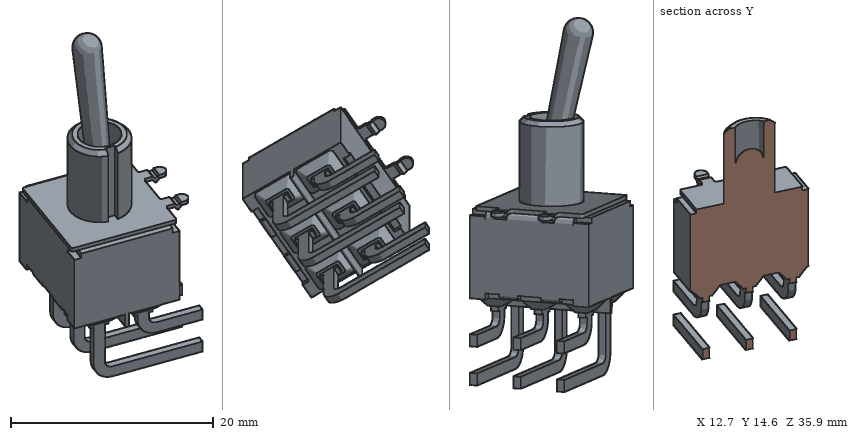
import cadquery as cq
import math


HOUSING_X = 12.7
HOUSING_Y = 11.5
HOUSING_TOP = 8.87
CORNER_TOP = 8.35
PANEL_X = 9.4
PANEL_THICKNESS = 0.75
PANEL_BOTTOM = 0.6
CORE_Y = HOUSING_Y - 2 * PANEL_THICKNESS
POST_X = (HOUSING_X - PANEL_X) / 2

LIP_WIDTH = 2.0
LIP_DROP = 0.45
LIP_ROUNDING = 0.43
LIP_SPACING = 4.45

PLATE_X = 11.42
PLATE_THICKNESS = 0.43
PLATE_CORNER = 0.2
PLATE_TOP = HOUSING_TOP + PLATE_THICKNESS
TAB_WIDTH = 1.3
TAB_SPACING = 5.1
TAB_TIP_Y = 8.45
DENT_Y = 7.08
DENT_HALF_WIDTH = 0.4
DENT_DROP = 0.43
GROOVE_HALF_WIDTH = 0.35
GROOVE_FLOOR_HALF_WIDTH = 0.18
GROOVE_DEPTH = 0.2

BUSHING_RADIUS = 6.35 / 2
BUSHING_TOP = 17.75
BUSHING_CHAMFER = 0.45
BORE_RADIUS = 4.35 / 2
KEYWAY_FLAT_X = 2.45
KEYWAY_WIDTH = 1.05
PIVOT_Z = 13.45

LEVER_TILT = 12.5
OVERALL_HEIGHT = 35.92
LEVER_TOP = 27.85
LEVER_TIP_RADIUS = 1.47
LEVER_ROOT_RADIUS = 1.2

DIVIDER_WIDTH = 0.43
DIVIDER_DROP = 1.58
DIVIDER_EDGE_RADIUS = 0.198

LEAD_PITCH_X = 4.67
LEAD_ROW_Y = 2.4
LEAD_WIDTH = 0.8
LEAD_THICKNESS = 1.22
LEAD_END_Y = 8.87
BEND_INNER_RADIUS = 1.65 / 2
FRONT_LEAD_BOTTOM = LEVER_TOP - OVERALL_HEIGHT
BACK_LEAD_BOTTOM = -4.2
SHOULDER_Y = 2.05
SHOULDER_BOTTOM = -1.55
MOUND_HEIGHT = 1.0
MOUND_BASE_X = 3.1
MOUND_BASE_Y = 4.4
MOUND_BASE_CORNER = 0.43
MOUND_INSET = 0.85
MOUND_END_CORNER = 0.2


def block(size_x, size_y, bottom, top, x=0, y=0):
    """Box centred on (x, y) between two heights."""
    height = top - bottom
    return cq.Workplane("XY").box(size_x, size_y, height).translate((x, y, (bottom + top) / 2))


def make_housing():
    """Housing block with rounded panels set between lower corner posts."""
    core = block(HOUSING_X, CORE_Y, 0, HOUSING_TOP)
    panels = block(PANEL_X, HOUSING_Y, 0, HOUSING_TOP).edges("|X and >Z").fillet(PANEL_THICKNESS)
    housing = core.union(panels)
    post_center = (PANEL_X + POST_X) / 2
    for x in (-post_center, post_center):
        housing = housing.union(block(POST_X, HOUSING_Y, 0, CORNER_TOP, x))
    for side in (-1, 1):
        panel_y = side * (HOUSING_Y - PANEL_THICKNESS) / 2
        housing = housing.cut(block(PANEL_X, PANEL_THICKNESS, 0, PANEL_BOTTOM, y=panel_y))
        outer_face = ">Y" if side > 0 else "<Y"
        for x in (-LIP_SPACING / 2, LIP_SPACING / 2):
            lip = block(LIP_WIDTH, PANEL_THICKNESS, PANEL_BOTTOM - LIP_DROP, PANEL_BOTTOM, x, panel_y)
            lip = lip.faces(outer_face).edges("<Z").fillet(LIP_ROUNDING)
            housing = housing.union(lip)
    return housing


def make_plate():
    """Top plate with two round-ended tabs, each dented downward."""
    plate = block(PLATE_X, HOUSING_Y, HOUSING_TOP, PLATE_TOP)
    plate = plate.edges("|Z").fillet(PLATE_CORNER)
    tab_root = HOUSING_Y / 2
    tab_end = TAB_TIP_Y - TAB_WIDTH / 2
    half = TAB_WIDTH / 2
    root_half = half + PLATE_CORNER
    tab_outline = (
        cq.Workplane("XY", origin=(0, 0, HOUSING_TOP))
        .moveTo(-root_half, tab_root)
        .radiusArc((-half, tab_root + PLATE_CORNER), -PLATE_CORNER)
        .lineTo(-half, tab_end)
        .threePointArc((0, TAB_TIP_Y), (half, tab_end))
        .lineTo(half, tab_root + PLATE_CORNER)
        .radiusArc((root_half, tab_root), -PLATE_CORNER)
        .lineTo(root_half, tab_root - PLATE_THICKNESS)
        .lineTo(-root_half, tab_root - PLATE_THICKNESS)
        .close()
    )
    dent = (
        cq.Workplane("YZ")
        .moveTo(DENT_Y - DENT_HALF_WIDTH, HOUSING_TOP)
        .lineTo(DENT_Y, HOUSING_TOP - DENT_DROP)
        .lineTo(DENT_Y + DENT_HALF_WIDTH, HOUSING_TOP)
        .close()
        .extrude(half, both=True)
    )
    groove = (
        cq.Workplane("YZ")
        .moveTo(DENT_Y - GROOVE_HALF_WIDTH, PLATE_TOP)
        .lineTo(DENT_Y - GROOVE_FLOOR_HALF_WIDTH, PLATE_TOP - GROOVE_DEPTH)
        .lineTo(DENT_Y + GROOVE_FLOOR_HALF_WIDTH, PLATE_TOP - GROOVE_DEPTH)
        .lineTo(DENT_Y + GROOVE_HALF_WIDTH, PLATE_TOP)
        .close()
        .extrude(half, both=True)
    )
    tab = tab_outline.extrude(PLATE_THICKNESS).union(dent).cut(groove)
    for x in (-TAB_SPACING / 2, TAB_SPACING / 2):
        plate = plate.union(tab.translate((x, 0, 0)))
    return plate


def make_bushing():
    """Bushing with its bore closed by the upper half of the lever ball."""
    arc_offset = BORE_RADIUS * math.sqrt(0.5)
    bushing = (
        cq.Workplane("XZ")
        .moveTo(0, HOUSING_TOP)
        .lineTo(BUSHING_RADIUS, HOUSING_TOP)
        .lineTo(BUSHING_RADIUS, BUSHING_TOP - BUSHING_CHAMFER)
        .lineTo(BUSHING_RADIUS - BUSHING_CHAMFER, BUSHING_TOP)
        .lineTo(BORE_RADIUS, BUSHING_TOP)
        .lineTo(BORE_RADIUS, PIVOT_Z)
        .threePointArc((arc_offset, PIVOT_Z + arc_offset), (0, PIVOT_Z + BORE_RADIUS))
        .close()
        .revolve(360, (0, 0, 0), (0, 1, 0))
    )
    keyway_depth = BUSHING_RADIUS - KEYWAY_FLAT_X
    keyway_x = KEYWAY_FLAT_X + keyway_depth / 2
    return bushing.cut(block(keyway_depth, KEYWAY_WIDTH, PLATE_TOP, BUSHING_TOP, keyway_x))


def make_lever():
    """Tapered lever with a round tip, tilted about the ball centre."""
    tip_height = LEVER_TOP - LEVER_TIP_RADIUS - PIVOT_Z
    length = tip_height / math.cos(math.radians(LEVER_TILT))
    arc_offset = LEVER_TIP_RADIUS * math.sqrt(0.5)
    lever = (
        cq.Workplane("XZ")
        .lineTo(LEVER_ROOT_RADIUS, 0)
        .lineTo(LEVER_TIP_RADIUS, length)
        .threePointArc((arc_offset, length + arc_offset), (0, length + LEVER_TIP_RADIUS))
        .close()
        .revolve(360, (0, 0, 0), (0, 1, 0))
    )
    return lever.rotate((0, 0, 0), (0, 1, 0), -LEVER_TILT).translate((0, 0, PIVOT_Z))


def make_divider():
    divider = block(HOUSING_X, DIVIDER_WIDTH, -DIVIDER_DROP, PANEL_BOTTOM)
    return divider.edges("|X and <Z").fillet(DIVIDER_EDGE_RADIUS)


def make_lead(row_y, bottom):
    """L-shaped lead that drops from the housing and bends toward +Y."""
    front = row_y - LEAD_THICKNESS / 2
    back = row_y + LEAD_THICKNESS / 2
    outer_radius = BEND_INNER_RADIUS + LEAD_THICKNESS
    inner_top = bottom + LEAD_THICKNESS
    lead = (
        cq.Workplane("YZ")
        .moveTo(front, 0)
        .lineTo(front, bottom + outer_radius)
        .radiusArc((front + outer_radius, bottom), -outer_radius)
        .lineTo(LEAD_END_Y, bottom)
        .lineTo(LEAD_END_Y, inner_top)
        .lineTo(back + BEND_INNER_RADIUS, inner_top)
        .radiusArc((back, inner_top + BEND_INNER_RADIUS), BEND_INNER_RADIUS)
        .lineTo(back, 0)
        .close()
        .extrude(LEAD_WIDTH / 2, both=True)
    )
    return lead.union(block(LEAD_WIDTH, SHOULDER_Y, SHOULDER_BOTTOM, 0, y=row_y))


def make_mound(row_y):
    """Sealing mound that narrows downward around a lead."""
    base = cq.Sketch().rect(MOUND_BASE_X, MOUND_BASE_Y).vertices().fillet(MOUND_BASE_CORNER)
    end = (
        cq.Sketch()
        .rect(MOUND_BASE_X - 2 * MOUND_INSET, MOUND_BASE_Y - 2 * MOUND_INSET)
        .vertices()
        .fillet(MOUND_END_CORNER)
    )
    mound = cq.Workplane("XY").placeSketch(base, end.moved(cq.Location(cq.Vector(0, 0, -MOUND_HEIGHT))))
    return mound.loft().translate((0, row_y, 0))


result = make_housing().union(make_plate()).union(make_bushing()).union(make_lever()).union(make_divider())

for row_y, bottom in ((-LEAD_ROW_Y, FRONT_LEAD_BOTTOM), (LEAD_ROW_Y, BACK_LEAD_BOTTOM)):
    terminal = make_mound(row_y).union(make_lead(row_y, bottom))
    for column in (-1, 0, 1):
        result = result.union(terminal.translate((column * LEAD_PITCH_X, 0, 0)))